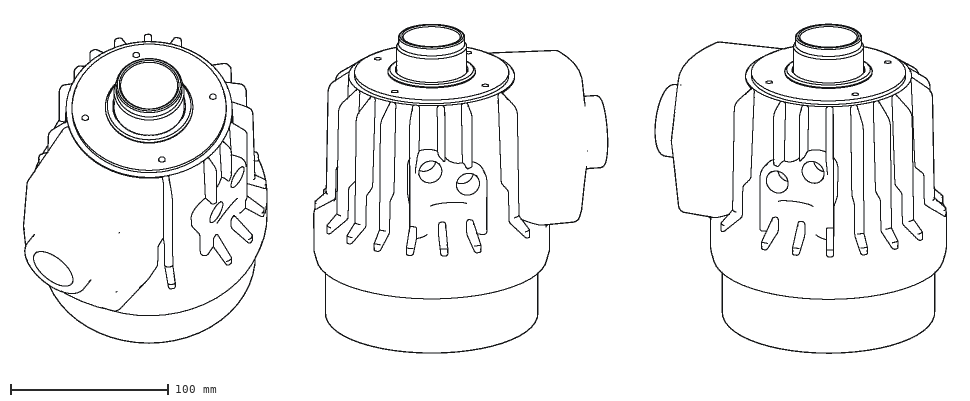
import cadquery as cq
import math

FLANGE_BOTTOM = 10.5
BASE_BOTTOM = 15.5
RIM_BOTTOM = 55.2
RIM_CHAMFER_TOP = 61.4
RIM_TOP = 83.6
BELLY_BOTTOM = 93.1
BELLY_TOP = 114.1
WALL_BOTTOM = 118.5
WALL_TOP = 178.8
PLATE_TOP = 181.3
RING_TOP = 183.1
NECK_BOTTOM = 198.8
SHAFT_TOP = 206.0

SHAFT_RADIUS = 22.2
SHAFT_FOOT_RADIUS = 24.0
SHAFT_BORE_RADIUS = 18.1
NECK_RADIUS = 21.0
NECK_BEVEL_HEIGHT = 1.6
SHAFT_FOOT_CHAMFER = (1.6, 0.8)
SHAFT_TOP_CHAMFER = 0.8

RING_RADIUS = 27.8
RING_BORE_RADIUS = 23.0
RING_CHAMFER = 1.2

BASE_RADIUS = 67.5
FLANGE_RADIUS = 50.0
BASE_EDGE_FILLET = 1.6

RIM_RADIUS = 75.0
RIM_FOOT_RADIUS = 73.3
RIM_CORNER_Z = 84.7
RIM_EDGE_FILLET = 1.9
BELLY_FOOT_RADIUS = 61.2
BELLY_RADIUS = 60.8
WALL_FOOT_RADIUS = 55.2
WALL_RADIUS = 52.7
PLATE_RADIUS = 49.0
BELLY_FILLET = 2.9

FIN_PITCH = 360 / 21
LONG_FINS = (1, 2, 3)
SHORT_FINS = (4, 5, 6)
FIN_THICKNESS = 4.5
FIN_RADIUS = 66.1
FIN_FLARE = 1.2
FRONT_FIN_ANGLE = 135
FRONT_FIN_RADIUS = 65.0
FIN_EDGE_FILLET = 1.5
FIN_CORNER_RADIUS = 8.2
SHORT_FIN_CORNER_RADIUS = 6.2
FIN_SHOULDER_Z = 169.3
FIN_SHOULDER_SLOPE = 0.65
FIN_KNEE_Z = 97.6
FIN_TOE_RADIUS = 74.5
FIN_TOE_Z = 89.6
FIN_ROOT_RADIUS = 41.2
FIN_SIDE_X = 59.1

PAD_FACE_X = 59.5
PAD_ROOT_X = 41.2
PAD_BOTTOM = 85.5
PAD_EDGE_FILLET = 3.5
LOBE_RADIUS = 12.8
REAR_LOBE = (12.0, 136.8)
FRONT_LOBE = (-12.4, 126.7)
LOBE_BLEND_RADIUS = 12.0
PAD_HOLE_RADIUS = 7.5
PAD_HOLE_DEPTH = 20.5

BOX_BOTTOM = 84.9
BOX_TOP = 178.0
BOX_ROOT_Y = -31.0
BOX_FRONT_Y = -100.1
BOX_HALF_WIDTH_ROOT = 39.5
BOX_HALF_WIDTH_FRONT = 34.2
BOX_FRONT_ARC_RADIUS = 96.8
BOX_FRONT_DRAFT = 6.0
BOX_OVERRUN = 2.0
BOX_EDGE_FILLET = 4.7
BOX_ROOT_FILLET = 2.0
BOX_ROOT_SPAN = 50.0

NOZZLE_Z = 133.0
NOZZLE_TIP_Y = -110.0
NOZZLE_END_Y = -82.5
NOZZLE_RADIUS = 23.0
NOZZLE_BORE_RADIUS = 15.0
NOZZLE_BORE_DEPTH = 33.0
NOZZLE_TIP_FILLET = 2.9
NOZZLE_ROOT_FILLET = 2.5

SCREW_SPACING = 58.5
SCREW_HOLE_RADIUS = 2.0
SCREW_HOLE_DEPTH = 8.2

DRILL_TIP_ANGLE = 118

PICK_MARGIN = 2.0


def revolved(points):
    """Solid of revolution about Z from (radius, height) points."""
    return cq.Workplane("XZ").polyline(points).close().revolve(360, (0, 0), (0, 1))


def cylinder(radius, bottom, top):
    return cq.Workplane("XY").workplane(offset=bottom).circle(radius).extrude(top - bottom)


def drill(radius, depth, start, direction):
    """Round drilled hole with a conical tip; depth is measured to the end of the straight part."""
    tip = radius / math.tan(math.radians(DRILL_TIP_ANGLE / 2))
    start = cq.Vector(*start)
    direction = cq.Vector(*direction)
    straight = cq.Solid.makeCylinder(radius, depth, start, direction)
    cone = cq.Solid.makeCone(radius, 0, tip, start + direction * depth, direction)
    return cq.Workplane(straight.fuse(cone))


def turned_body():
    body = revolved([
        (SHAFT_RADIUS, RIM_BOTTOM),
        (RIM_FOOT_RADIUS, RIM_BOTTOM),
        (RIM_RADIUS, RIM_CHAMFER_TOP),
        (RIM_RADIUS, RIM_CORNER_Z),
        (BELLY_FOOT_RADIUS, BELLY_BOTTOM),
        (BELLY_RADIUS, BELLY_TOP),
        (WALL_FOOT_RADIUS, WALL_BOTTOM),
        (WALL_RADIUS, WALL_TOP),
        (SHAFT_RADIUS, WALL_TOP),
    ])
    rim_edge = cq.selectors.RadiusNthSelector(-1)
    body = body.edges(rim_edge).edges(">Z").fillet(RIM_EDGE_FILLET)
    belly_zone = cq.selectors.BoxSelector(
        (-RIM_RADIUS, -RIM_RADIUS, BELLY_BOTTOM - PICK_MARGIN),
        (RIM_RADIUS, RIM_RADIUS, WALL_BOTTOM + PICK_MARGIN),
    )
    return body.edges(belly_zone).edges("%CIRCLE").fillet(BELLY_FILLET)


def fin(angle_from_rear, corner_radius, outer_radius, flare=0):
    """Radial rib with a rounded shoulder on top and a sloped toe on the rim.

    The rib stands out at the knee above the toe by `flare` more than at the shoulder.
    """
    knee_radius = outer_radius + flare
    toe_slope = (FIN_KNEE_Z - FIN_TOE_Z) / (FIN_TOE_RADIUS - FIN_RADIUS)
    knee_z = FIN_TOE_Z + toe_slope * (FIN_TOE_RADIUS - knee_radius)
    shoulder_z = FIN_SHOULDER_Z + FIN_SHOULDER_SLOPE * (FIN_RADIUS - outer_radius)
    rib = (
        cq.Workplane("XZ")
        .polyline([
            (FIN_ROOT_RADIUS, RIM_TOP),
            (FIN_TOE_RADIUS, RIM_TOP),
            (FIN_TOE_RADIUS, FIN_TOE_Z),
            (knee_radius, knee_z),
            (outer_radius, shoulder_z),
            (WALL_RADIUS, WALL_TOP),
            (FIN_ROOT_RADIUS, WALL_TOP),
        ])
        .close()
        .extrude(FIN_THICKNESS / 2, both=True)
    )
    corner = cq.selectors.NearestToPointSelector((outer_radius, 0, shoulder_z))
    rib = rib.edges("|Y").edges(corner).fillet(corner_radius)
    outer_zone = cq.selectors.BoxSelector(
        (WALL_RADIUS, -FIN_THICKNESS, RIM_TOP + PICK_MARGIN / 10),
        (RIM_RADIUS + PICK_MARGIN, FIN_THICKNESS, WALL_TOP),
    )
    rib = rib.faces("<Y or >Y").edges(outer_zone).fillet(FIN_EDGE_FILLET)
    return rib.rotate((0, 0, 0), (0, 0, 1), 90 + angle_from_rear)


def fins_on_one_side():
    ribs = [fin(k * FIN_PITCH, FIN_CORNER_RADIUS, FIN_RADIUS, FIN_FLARE) for k in LONG_FINS]
    for k in SHORT_FINS:
        angle = k * FIN_PITCH
        outer_radius = FIN_SIDE_X / math.sin(math.radians(angle))
        ribs.append(fin(angle, SHORT_FIN_CORNER_RADIUS, outer_radius))
    ribs.append(fin(FRONT_FIN_ANGLE, FIN_CORNER_RADIUS, FRONT_FIN_RADIUS, FIN_FLARE))
    return ribs


def lobe_blend():
    """Start, lowest point and end of the concave arc that joins the two lobes of a pad."""
    dy = FRONT_LOBE[0] - REAR_LOBE[0]
    dz = FRONT_LOBE[1] - REAR_LOBE[1]
    half = math.hypot(dy, dz) / 2
    reach = LOBE_RADIUS + LOBE_BLEND_RADIUS
    rise = math.sqrt(reach**2 - half**2)
    normal = (dz / (2 * half), -dy / (2 * half))
    centre = (
        (REAR_LOBE[0] + FRONT_LOBE[0]) / 2 + normal[0] * rise,
        (REAR_LOBE[1] + FRONT_LOBE[1]) / 2 + normal[1] * rise,
    )
    share = LOBE_RADIUS / reach
    tangents = [
        tuple(a + (c - a) * share for a, c in zip(lobe, centre))
        for lobe in (REAR_LOBE, FRONT_LOBE)
    ]
    lowest = tuple(c - n * LOBE_BLEND_RADIUS for c, n in zip(centre, normal))
    return tangents[0], lowest, tangents[1]


def on_lobe(lobe, degrees):
    angle = math.radians(degrees)
    return (lobe[0] + LOBE_RADIUS * math.cos(angle), lobe[1] + LOBE_RADIUS * math.sin(angle))


def pad():
    """Two-lobed pad on the -X side."""
    rear_tangent, blend_lowest, front_tangent = lobe_blend()
    rear_side = REAR_LOBE[0] + LOBE_RADIUS
    front_side = FRONT_LOBE[0] - LOBE_RADIUS
    block = (
        cq.Workplane("YZ", origin=(-PAD_FACE_X, 0, 0))
        .moveTo(rear_side, PAD_BOTTOM)
        .lineTo(*on_lobe(REAR_LOBE, 0))
        .threePointArc(on_lobe(REAR_LOBE, 90), rear_tangent)
        .threePointArc(blend_lowest, front_tangent)
        .threePointArc(on_lobe(FRONT_LOBE, 135), on_lobe(FRONT_LOBE, 180))
        .lineTo(front_side, PAD_BOTTOM)
        .close()
        .extrude(PAD_FACE_X - PAD_ROOT_X)
    )
    return block.faces("<X").edges("not <Z").fillet(PAD_EDGE_FILLET)


def pad_holes():
    return [
        drill(PAD_HOLE_RADIUS, PAD_HOLE_DEPTH, (-PAD_FACE_X, y, z), (1, 0, 0))
        for y, z in (REAR_LOBE, FRONT_LOBE)
    ]


def connection_box():
    """Tapered box toward -Y whose bowed front is drafted up and down from the nozzle height."""
    arc_centre_y = BOX_FRONT_Y + BOX_FRONT_ARC_RADIUS
    taper = (BOX_HALF_WIDTH_ROOT - BOX_HALF_WIDTH_FRONT) / (BOX_ROOT_Y - BOX_FRONT_Y)
    past_front = BOX_FRONT_Y - BOX_OVERRUN
    half_past_front = BOX_HALF_WIDTH_FRONT - taper * BOX_OVERRUN
    block = (
        cq.Workplane("XY")
        .workplane(offset=BOX_BOTTOM)
        .polyline([
            (-BOX_HALF_WIDTH_ROOT, BOX_ROOT_Y),
            (-half_past_front, past_front),
            (half_past_front, past_front),
            (BOX_HALF_WIDTH_ROOT, BOX_ROOT_Y),
        ])
        .close()
        .extrude(BOX_TOP - BOX_BOTTOM)
    )
    slope = math.tan(math.radians(BOX_FRONT_DRAFT))
    bow = revolved([
        (0, BOX_BOTTOM),
        (BOX_FRONT_ARC_RADIUS - slope * (NOZZLE_Z - BOX_BOTTOM), BOX_BOTTOM),
        (BOX_FRONT_ARC_RADIUS, NOZZLE_Z),
        (BOX_FRONT_ARC_RADIUS - slope * (BOX_TOP - NOZZLE_Z), BOX_TOP),
        (0, BOX_TOP),
    ]).translate((0, arc_centre_y, 0))
    block = block.intersect(bow)
    rounded = [
        edge for edge in block.edges().vals()
        if edge.Center().y < BOX_ROOT_Y - PICK_MARGIN
        and abs(edge.Center().z - NOZZLE_Z) > PICK_MARGIN
    ]
    return block.newObject(rounded).fillet(BOX_EDGE_FILLET)


def box_with_nozzle():
    nozzle = (
        cq.Workplane("XZ", origin=(0, NOZZLE_TIP_Y, NOZZLE_Z))
        .circle(NOZZLE_RADIUS)
        .extrude(NOZZLE_TIP_Y - NOZZLE_END_Y)
        .faces("<Y")
        .edges()
        .fillet(NOZZLE_TIP_FILLET)
        .rotate((0, 0, NOZZLE_Z), (0, 1, NOZZLE_Z), 90)
    )
    box = connection_box().union(nozzle)
    reach = NOZZLE_RADIUS + PICK_MARGIN
    root_zone = cq.selectors.BoxSelector(
        (-reach, BOX_FRONT_Y - PICK_MARGIN, NOZZLE_Z - reach),
        (reach, BOX_FRONT_Y + 2 * PICK_MARGIN, NOZZLE_Z + reach),
    )
    return box.edges(root_zone).edges("%BSPLINE").fillet(NOZZLE_ROOT_FILLET)


def nozzle_bore():
    return (
        cq.Workplane("XZ", origin=(0, NOZZLE_TIP_Y, NOZZLE_Z))
        .circle(NOZZLE_BORE_RADIUS)
        .extrude(-NOZZLE_BORE_DEPTH)
    )


def screw_holes():
    offsets = (-SCREW_SPACING / 2, SCREW_SPACING / 2)
    return [
        drill(SCREW_HOLE_RADIUS, SCREW_HOLE_DEPTH, (x, y, PLATE_TOP), (0, 0, -1))
        for x in offsets
        for y in offsets
    ]


def top_plate():
    plate = cylinder(PLATE_RADIUS, WALL_TOP, PLATE_TOP)
    return plate.cut(cylinder(SHAFT_RADIUS, WALL_TOP, PLATE_TOP))


def box_root_blend():
    """Concave blend between the underside of the box and the rim."""
    root = RIM_RADIUS - 2 * BOX_ROOT_FILLET
    corner = (RIM_RADIUS + BOX_ROOT_FILLET, BOX_BOTTOM - BOX_ROOT_FILLET)
    middle = BOX_ROOT_FILLET * math.sqrt(0.5)
    return (
        cq.Workplane("XZ")
        .moveTo(root, corner[1])
        .lineTo(RIM_RADIUS, corner[1])
        .threePointArc((corner[0] - middle, corner[1] + middle), (corner[0], BOX_BOTTOM))
        .lineTo(corner[0], BOX_BOTTOM + BOX_ROOT_FILLET)
        .lineTo(root, BOX_BOTTOM + BOX_ROOT_FILLET)
        .close()
        .revolve(BOX_ROOT_SPAN, (0, 0), (0, 1))
        .rotate((0, 0, 0), (0, 0, 1), -90 - BOX_ROOT_SPAN / 2)
    )


def finned_half():
    """Half of the housing at negative X, without the connection box."""
    half_space = cq.Workplane("YZ").rect(3 * RIM_RADIUS, 3 * SHAFT_TOP).extrude(-2 * RIM_RADIUS)
    half = turned_body().intersect(half_space).val()
    half = half.fuse(pad().val()).fuse(*[rib.val() for rib in fins_on_one_side()])
    return cq.Workplane(half.cut(*[hole.val() for hole in pad_holes()]))


def make_housing():
    half = finned_half()
    box = box_with_nozzle().cut(nozzle_bore())
    body = half.val().fuse(half.mirror("YZ").val(), glue=True)
    body = body.fuse(*[part.val() for part in (top_plate(), box, box_root_blend())])
    body = body.cut(*[hole.val() for hole in screw_holes()])
    return cq.Workplane(body.Solids()[0])


def make_base():
    drum = cylinder(BASE_RADIUS, BASE_BOTTOM, RIM_BOTTOM).faces("<Z").edges().fillet(BASE_EDGE_FILLET)
    flange = cylinder(FLANGE_RADIUS, FLANGE_BOTTOM, BASE_BOTTOM)
    return drum.union(flange).cut(cylinder(SHAFT_FOOT_RADIUS, FLANGE_BOTTOM, RIM_BOTTOM))


def make_shaft():
    foot_height, foot_inset = SHAFT_FOOT_CHAMFER
    return revolved([
        (SHAFT_BORE_RADIUS, 0),
        (SHAFT_FOOT_RADIUS - foot_inset, 0),
        (SHAFT_FOOT_RADIUS, foot_height),
        (SHAFT_FOOT_RADIUS, RIM_BOTTOM),
        (SHAFT_RADIUS, RIM_BOTTOM),
        (SHAFT_RADIUS, NECK_BOTTOM),
        (NECK_RADIUS, NECK_BOTTOM + NECK_BEVEL_HEIGHT),
        (NECK_RADIUS, SHAFT_TOP - SHAFT_TOP_CHAMFER),
        (NECK_RADIUS - SHAFT_TOP_CHAMFER, SHAFT_TOP),
        (SHAFT_BORE_RADIUS + SHAFT_TOP_CHAMFER, SHAFT_TOP),
        (SHAFT_BORE_RADIUS, SHAFT_TOP - SHAFT_TOP_CHAMFER),
    ])


def make_ring():
    ring = cylinder(RING_RADIUS, PLATE_TOP, RING_TOP).faces(">Z").edges().chamfer(RING_CHAMFER)
    return ring.cut(cylinder(RING_BORE_RADIUS, PLATE_TOP, RING_TOP))


housing = make_housing()
base = make_base()
shaft = make_shaft()
ring = make_ring()

result = cq.Compound.makeCompound([housing.val(), base.val(), shaft.val(), ring.val()])